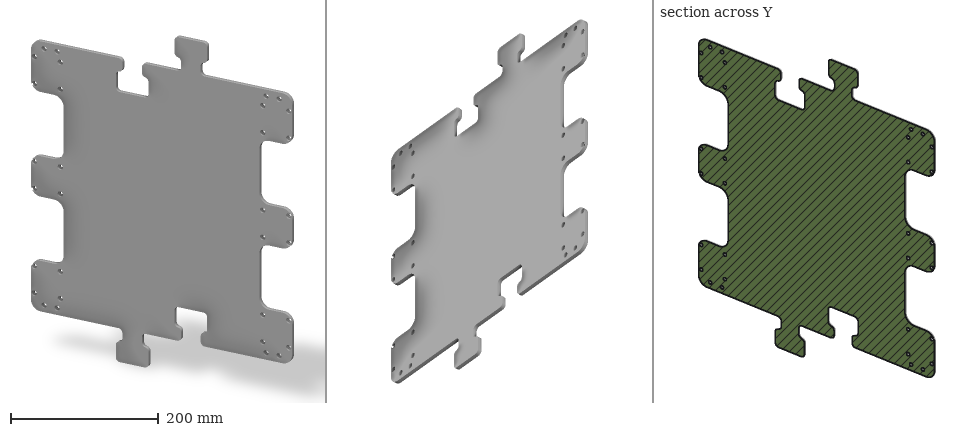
import cadquery as cq
import math

plate_size = 400.0
thickness = 6.0
plate_half = plate_size / 2

notch_depth = 50.0
notch_bottom = 30.0
notch_top = 125.0
lug_radius = 15.0

key_offset = 45.0
key_length = 50.0
neck_length = 20.0
neck_width = 30.0
head_width = 50.0
key_radius = 6.0

hole_diameter = 4.5
head_diameter = 8.0
head_depth = 3.0
lug_hole_x = (155.0, 195.0)
lug_hole_z = (20.0, 135.0, 175.0)
edge_hole_x = (160.0, 180.0)
edge_hole_z = 190.0


def arc_point(center, degrees):
    """Point on a key corner arc at an angle measured from +X toward +Z."""
    angle = math.radians(degrees)
    return (
        center[0] + key_radius * math.cos(angle),
        center[1] + key_radius * math.sin(angle),
    )


def make_key(center_x):
    """Solid key standing on the top edge of the plate, flared where it meets the edge."""
    neck_x = neck_width / 2
    head_x = head_width / 2
    base_z = plate_half
    end_z = base_z + key_length

    shoulder_turn = math.degrees(math.acos(1 - (head_x - neck_x) / (2 * key_radius)))
    shoulder_rise = key_radius * math.sin(math.radians(shoulder_turn))
    shoulder_z = base_z + neck_length

    flare = (neck_x + key_radius, base_z + key_radius)
    waist = (neck_x + key_radius, shoulder_z - shoulder_rise)
    shoulder = (head_x - key_radius, shoulder_z + shoulder_rise)
    tip = (head_x - key_radius, end_z - key_radius)
    half_key = (
        cq.Workplane("XZ", origin=(center_x, 0, 0))
        .moveTo(0, base_z)
        .lineTo(*arc_point(flare, 270))
        .threePointArc(arc_point(flare, 225), arc_point(flare, 180))
        .lineTo(*arc_point(waist, 180))
        .threePointArc(arc_point(waist, 180 - shoulder_turn / 2), arc_point(waist, 180 - shoulder_turn))
        .threePointArc(arc_point(shoulder, -shoulder_turn / 2), arc_point(shoulder, 0))
        .lineTo(*arc_point(tip, 0))
        .threePointArc(arc_point(tip, 45), arc_point(tip, 90))
        .lineTo(0, end_z)
        .close()
        .extrude(thickness / 2, both=True)
    )
    return half_key.union(half_key.mirror("YZ", (center_x, 0, 0)))


def half_turn(shape):
    """Shape turned 180 degrees about the middle of the plate."""
    return shape.rotate((0, 0, 0), (0, 1, 0), 180)


def make_body():
    """Square plate with two rounded notches in each side."""
    body = cq.Workplane("XZ").rect(plate_size, plate_size).extrude(thickness / 2, both=True)
    notch_height = notch_top - notch_bottom
    notch_z = (notch_top + notch_bottom) / 2
    notch_centers = [(i * plate_half, k * notch_z) for i in (-1, 1) for k in (-1, 1)]
    notches = (
        cq.Workplane("XZ")
        .pushPoints(notch_centers)
        .rect(2 * notch_depth, notch_height)
        .extrude(thickness, both=True)
    )
    return body.cut(notches).edges("|Y").fillet(lug_radius)


def add_keys(plate):
    """Tab and socket on the top edge, repeated on the bottom edge half a turn round."""
    tab = make_key(key_offset)
    socket = make_key(-key_offset).mirror("XY", (0, 0, plate_half))
    for part in (tab, half_turn(tab)):
        plate = plate.union(part)
    for part in (socket, half_turn(socket)):
        plate = plate.cut(part)
    return plate


def hole_points():
    """Hole centers, mirrored about both middle axes of the plate."""
    quarter = [(x, z) for x in lug_hole_x for z in lug_hole_z]
    quarter += [(x, edge_hole_z) for x in edge_hole_x]
    return [(i * x, k * z) for x, z in quarter for i in (-1, 1) for k in (-1, 1)]


def cut_holes(plate):
    front = cq.Workplane("XZ", origin=(0, -thickness / 2, 0)).pushPoints(hole_points())
    through = front.circle(hole_diameter / 2).extrude(-thickness)
    recesses = front.circle(head_diameter / 2).extrude(-head_depth)
    return plate.cut(through).cut(recesses)


result = cut_holes(add_keys(make_body()))